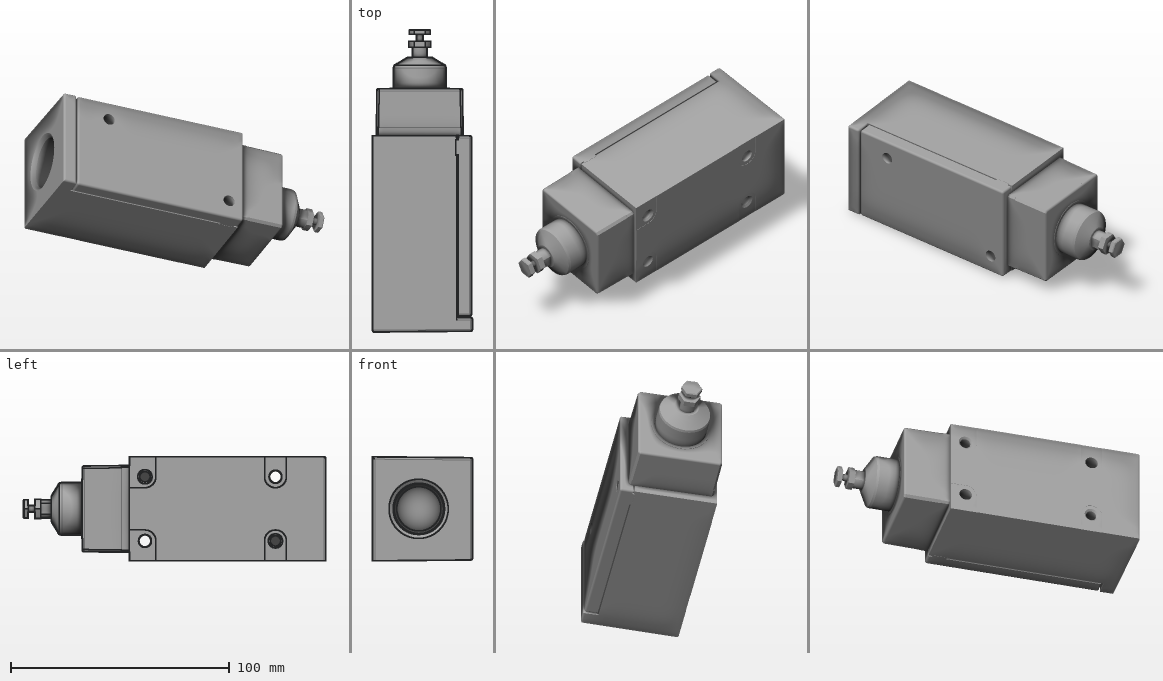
import cadquery as cq
import math

WIDTH_X = 45.72
HEIGHT_Z = 47.62
BODY_END_Y = 89.7
DRAFT = math.tan(math.radians(0.5))
EDGE_RADIUS = 1.0

LID_SEAT_X = 38.5
GASKET_THICKNESS = 0.75
GASKET_INSET = 0.8
LID_STEP_DOWN = 0.42
LID_TOP_X = WIDTH_X - LID_STEP_DOWN
LUG_END_Y = 6.7
LID_START_Y = 7.4
TAB_START_Y = 81.0
TAB_END_Y = 87.8
TAB_OVERLAP = 0.4
TAB_CLEARANCE = 0.1

ENTRY_X = 21.2
ENTRY_MOUTH_DIA = 27.4
ENTRY_BORE_DIA = 23.5
ENTRY_INNER_DIA = 22.6
ENTRY_FLOOR_DIA = 20.2
ENTRY_MOUTH_DEPTH = 2.0
ENTRY_BORE_DEPTH = 11.8
ENTRY_FLOOR_DEPTH = 13.0

HOLE_Z = 14.65
HOLE_NEAR_Y = 23.0
HOLE_FAR_Y = 82.6
CLEARANCE_MOUTH_DIA = 5.9
CLEARANCE_EXIT_DIA = 5.5
THREAD_DIA = 4.8
THREAD_MOUTH_DIA = 6.5
THREAD_DEPTH = 12.0
PAD_RADIUS = 5.0
PAD_DEPTH = 0.1

HEAD_X = 21.6
HEAD_SIDE = 39.6
HEAD_BASE_LENGTH = 3.8
HEAD_END_Y = 111.2
HEAD_TAPER_DEG = 0.5
BASE_EDGE = 0.9
HEAD_EDGE = 1.1

BOOT_RIM_DIA = 27.0
BOOT_RIM_HEIGHT = 0.2
BOOT_DIA = 24.1
BOOT_SHOULDER_DIA = 23.4
BOOT_TIP_DIA = 11.2
BOOT_BREAK_Y = 120.7
BOOT_SHOULDER_Y = 121.8
BOOT_TIP_Y = 125.5
STEM_DIA = 8.4
STEM_FLATS = 6.8
STEM_END_Y = 130.1
NUT_END_Y = 132.9
NUT_CORNERS = 10.2
NECK_DIA = 3.1
BUTTON_START_Y = 136.0
BUTTON_CORNERS = 9.7
BUTTON_CHAMFER = 0.4
TIP_Y = 138.2


def half_height(x):
    """Half of the drafted body height at a distance x from the mounting face."""
    return HEIGHT_Z / 2 - DRAFT * x


def box(x_range, y_range, z_range):
    spans = (x_range, y_range, z_range)
    sizes = [high - low for low, high in spans]
    return cq.Workplane().box(*sizes, centered=False).translate([low for low, _ in spans])


def section_plane(x, y):
    """Plane facing +Y, local x along global X, local y along global -Z."""
    return cq.Workplane(cq.Plane(origin=(x, y, 0), xDir=(1, 0, 0), normal=(0, 1, 0)))


def drafted_block():
    """Enclosure outline with its side walls and conduit end all drafted toward +X."""
    z_root = half_height(0)
    z_tip = half_height(WIDTH_X)
    side_walls = (
        section_plane(0, 0)
        .polyline([(0, -z_root), (WIDTH_X, -z_tip), (WIDTH_X, z_tip), (0, z_root)])
        .close()
        .extrude(BODY_END_Y)
    )
    end_wall = (
        cq.Workplane("XY")
        .polyline([(0, 0), (WIDTH_X, DRAFT * WIDTH_X), (WIDTH_X, BODY_END_Y), (0, BODY_END_Y)])
        .close()
        .extrude(z_root, both=True)
    )
    return side_walls.intersect(end_wall)


def make_body(block):
    """Enclosure without its lid: a seat for the gasket on +X and a lug at the conduit end."""
    full_z = (-HEIGHT_Z / 2, HEIGHT_Z / 2)
    body = block.cut(box((LID_SEAT_X, WIDTH_X), (LUG_END_Y, BODY_END_Y), full_z))
    lug_top_edge = cq.selectors.BoxSelector(
        (LID_SEAT_X, LID_START_Y, half_height(WIDTH_X)), (WIDTH_X, DRAFT * WIDTH_X, HEIGHT_Z / 2)
    )
    rounded = (
        body.faces("<Y").edges("<X or >Z").vals()
        + body.faces(">X").edges().vals()
        + body.edges(lug_top_edge).vals()
    )
    body = body.newObject(rounded).fillet(EDGE_RADIUS)
    notch_floor_z = half_height(LID_SEAT_X) - GASKET_INSET
    notch_x = (LID_SEAT_X - TAB_OVERLAP - TAB_CLEARANCE, LID_SEAT_X)
    notch_y = (TAB_START_Y - TAB_CLEARANCE, TAB_END_Y + TAB_CLEARANCE)
    notch_core = box(notch_x, notch_y, (-notch_floor_z, notch_floor_z))
    return body.cut(box(notch_x, notch_y, full_z).cut(notch_core))


def make_lid(block):
    """Lid with rounded outer edges, its inset gasket and the two tabs that hook into the body."""
    full_z = (-HEIGHT_Z / 2, HEIGHT_Z / 2)
    lid_base_x = LID_SEAT_X + GASKET_THICKNESS
    lid = block.intersect(box((lid_base_x, LID_TOP_X), (LID_START_Y, BODY_END_Y), full_z))
    lid = lid.faces(">X or >Y or <Y").edges("not(<X)").fillet(EDGE_RADIUS)
    gasket_z = half_height(LID_SEAT_X) - GASKET_INSET
    gasket_y = (LUG_END_Y, BODY_END_Y - GASKET_INSET)
    gasket = box((LID_SEAT_X, lid_base_x), gasket_y, (-gasket_z, gasket_z))
    tabs = block.intersect(box((LID_SEAT_X - TAB_OVERLAP, lid_base_x), (TAB_START_Y, TAB_END_Y), full_z))
    return lid.union(gasket).union(tabs)


def conduit_entry():
    """Tapered blind bore into the y = 0 end, with a flared mouth and a coned floor edge."""
    return (
        cq.Workplane("XY")
        .moveTo(0, 0)
        .lineTo(ENTRY_MOUTH_DIA / 2, 0)
        .lineTo(ENTRY_BORE_DIA / 2, ENTRY_MOUTH_DEPTH)
        .lineTo(ENTRY_INNER_DIA / 2, ENTRY_BORE_DEPTH)
        .lineTo(ENTRY_FLOOR_DIA / 2, ENTRY_FLOOR_DEPTH)
        .lineTo(0, ENTRY_FLOOR_DEPTH)
        .close()
        .revolve(360, (0, 0), (0, 1))
        .translate((ENTRY_X, 0, 0))
    )


def mounting_pad(y, side, open_end):
    """Shallow recess from a hole out to the body edge on the given Z side."""
    reach = HEIGHT_Z / 2
    z_span = sorted((side * HOLE_Z, side * reach))
    pad = cq.Workplane("YZ").center(y, side * HOLE_Z).circle(PAD_RADIUS).extrude(PAD_DEPTH)
    pad = pad.union(box((0, PAD_DEPTH), (y - PAD_RADIUS, y + PAD_RADIUS), z_span))
    if open_end:
        corner_z = sorted((side * (HOLE_Z - PAD_RADIUS), side * reach))
        pad = pad.union(box((0, PAD_DEPTH), (y, BODY_END_Y), corner_z))
    return pad


def clearance_hole(y, z):
    """Through hole along X with a slight mould taper, widest at the mounting face."""
    hole = cq.Solid.makeCone(
        CLEARANCE_MOUTH_DIA / 2, CLEARANCE_EXIT_DIA / 2, WIDTH_X, cq.Vector(0, y, z), cq.Vector(1, 0, 0)
    )
    return cq.Workplane(hole)


def threaded_hole(y, z):
    """Blind hole along X with a 45 degree mouth below the pad surface."""
    mouth_depth = PAD_DEPTH + (THREAD_MOUTH_DIA - THREAD_DIA) / 2
    mouth = cq.Solid.makeCone(
        THREAD_MOUTH_DIA / 2 + PAD_DEPTH, THREAD_DIA / 2, mouth_depth, cq.Vector(0, y, z), cq.Vector(1, 0, 0)
    )
    return cq.Workplane("YZ").center(y, z).circle(THREAD_DIA / 2).extrude(THREAD_DEPTH).union(mouth)


def enclosure_cuts():
    """Conduit entry, pads and holes; the two hole types alternate between diagonal corners."""
    cuts = conduit_entry()
    for side in (1, -1):
        cuts = cuts.union(mounting_pad(HOLE_NEAR_Y, side, False))
        cuts = cuts.union(mounting_pad(HOLE_FAR_Y, side, True))
        cuts = cuts.union(clearance_hole(HOLE_NEAR_Y if side > 0 else HOLE_FAR_Y, side * HOLE_Z))
        cuts = cuts.union(threaded_hole(HOLE_FAR_Y if side > 0 else HOLE_NEAR_Y, side * HOLE_Z))
    return cuts


def make_head():
    """Square head: a short straight base under a tapered cap."""
    cap_start_y = BODY_END_Y + HEAD_BASE_LENGTH
    base = section_plane(HEAD_X, BODY_END_Y).rect(HEAD_SIDE, HEAD_SIDE).extrude(HEAD_BASE_LENGTH)
    base = base.edges("|Y").chamfer(BASE_EDGE)
    cap = section_plane(HEAD_X, cap_start_y).rect(HEAD_SIDE, HEAD_SIDE)
    cap = cap.extrude(HEAD_END_Y - cap_start_y, taper=HEAD_TAPER_DEG)
    cap = cap.edges("not(<Y or >Y)").chamfer(HEAD_EDGE).faces(">Y").edges().fillet(EDGE_RADIUS)
    return base.union(cap)


def make_boot():
    rim_top_y = HEAD_END_Y + BOOT_RIM_HEIGHT
    return (
        cq.Workplane("XY")
        .moveTo(0, HEAD_END_Y)
        .lineTo(BOOT_RIM_DIA / 2, HEAD_END_Y)
        .lineTo(BOOT_RIM_DIA / 2, rim_top_y)
        .lineTo(BOOT_DIA / 2, rim_top_y)
        .lineTo(BOOT_DIA / 2, BOOT_BREAK_Y)
        .lineTo(BOOT_SHOULDER_DIA / 2, BOOT_SHOULDER_Y)
        .lineTo(BOOT_TIP_DIA / 2, BOOT_TIP_Y)
        .lineTo(0, BOOT_TIP_Y)
        .close()
        .revolve(360, (0, 0), (0, 1))
        .translate((HEAD_X, 0, 0))
    )


def hexagon(start_y, end_y, across_corners):
    return section_plane(HEAD_X, start_y).polygon(6, across_corners).extrude(end_y - start_y)


def make_plunger():
    """Flatted stem, hexagonal nut, thin neck and chamfered hexagonal button."""
    stem_length = STEM_END_Y - BOOT_TIP_Y
    flats = section_plane(HEAD_X, BOOT_TIP_Y).rect(STEM_FLATS, STEM_DIA).extrude(stem_length)
    stem = section_plane(HEAD_X, BOOT_TIP_Y).circle(STEM_DIA / 2).extrude(stem_length).intersect(flats)
    nut = hexagon(STEM_END_Y, NUT_END_Y, NUT_CORNERS)
    neck = section_plane(HEAD_X, NUT_END_Y).circle(NECK_DIA / 2).extrude(BUTTON_START_Y - NUT_END_Y)
    button = hexagon(BUTTON_START_Y, TIP_Y, BUTTON_CORNERS).faces(">Y").chamfer(BUTTON_CHAMFER)
    return stem.union(nut).union(neck).union(button)


block = drafted_block()
enclosure = make_body(block).union(make_lid(block)).cut(enclosure_cuts())
result = enclosure.union(make_head()).union(make_boot()).union(make_plunger())